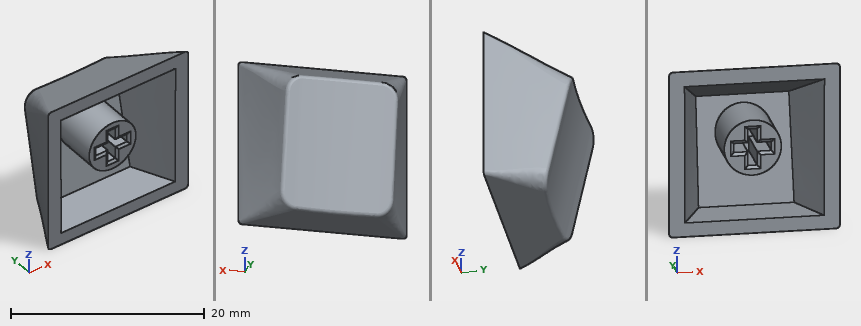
import cadquery as cq
import math

rim_side = 18.0
rim_corner_radius = 0.45
crown_width = 11.8
crown_corner_radius = 1.8
crown_low_y = 5.92
crown_high_y = 8.78
crown_high_z = 4.63
crown_edge_radius = 0.4
skin_steps = 4
dish_sagitta = 0.41

mouth_low_width = 14.62
mouth_high_width = 14.72
mouth_low_z = -7.47
mouth_high_z = 7.36
floor_low_y = 4.79
floor_high_z = 3.87
floor_low_width = 10.05
floor_high_width = 9.8

stem_diameter = 6.0
stem_recess = 0.99
socket_length = 4.65
socket_arm_width = 1.65
socket_inset = 0.35
socket_lead_in = 0.2

wall_z = -rim_side / 2
crown_rise = crown_high_y - crown_low_y
crown_run = crown_high_z - wall_z
crown_length = math.hypot(crown_rise, crown_run)
crown_slope = crown_rise / crown_run
crown_tilt = math.degrees(math.atan(crown_slope))
crown_middle = (0, (crown_low_y + crown_high_y) / 2, (wall_z + crown_high_z) / 2)


def tilted_plane(origin, tilt):
    """Plane facing +Y and leaning toward -Z by the tilt; its local y runs up the slope."""
    angle = math.radians(tilt)
    normal = (0, math.cos(angle), -math.sin(angle))
    return cq.Plane(origin=origin, xDir=(-1, 0, 0), normal=normal)


def rounded_rectangle(plane, width, length, radius):
    flat = cq.Face.makeFromWires(cq.Workplane(plane).rect(width, length).wires().val())
    return flat.fillet2D(radius, flat.Vertices()).outerWire()


def loft(*wires, ruled=True):
    return cq.Workplane(cq.Solid.makeLoft(list(wires), ruled))


def between(start, end, fraction):
    return start + (end - start) * fraction


def skin_section(fraction):
    """Outline of the skin at a fraction of the way from the rim (0) to the sharp crown (1)."""
    low_y = crown_low_y * fraction
    high_y = crown_high_y * fraction
    high_z = between(rim_side / 2, crown_high_z, fraction)
    rise = high_y - low_y
    run = high_z - wall_z
    middle = (0, (low_y + high_y) / 2, (wall_z + high_z) / 2)
    eased = fraction**2 * (3 - 2 * fraction)
    return rounded_rectangle(
        tilted_plane(middle, math.degrees(math.atan2(rise, run))),
        between(rim_side, crown_width, fraction),
        math.hypot(rise, run),
        between(rim_corner_radius, crown_corner_radius, eased),
    )


def make_skin():
    crown_plane = tilted_plane(crown_middle, crown_tilt)
    sections = [skin_section(step / skin_steps) for step in range(skin_steps + 1)]
    skin = loft(*sections, ruled=False)
    half_width = crown_width / 2
    dish_radius = (half_width**2 + dish_sagitta**2) / (2 * dish_sagitta)
    up_slope = crown_plane.yDir.toTuple()
    dish = (
        cq.Workplane(cq.Plane(origin=crown_middle, xDir=(1, 0, 0), normal=up_slope))
        .center(0, dish_radius - dish_sagitta)
        .circle(dish_radius)
        .extrude(crown_length, both=True)
    )
    dish_face = cq.selectors.NearestToPointSelector(crown_middle)
    return skin.cut(dish).faces(dish_face).edges().fillet(crown_edge_radius)


def make_cavity():
    floor_high_y = floor_low_y + crown_slope * (floor_high_z - mouth_low_z)

    def trapezoid(low_width, low_y, high_width, high_y, high_z):
        corners = [
            (-low_width / 2, low_y, mouth_low_z),
            (low_width / 2, low_y, mouth_low_z),
            (high_width / 2, high_y, high_z),
            (-high_width / 2, high_y, high_z),
        ]
        return cq.Wire.makePolygon([cq.Vector(*corner) for corner in corners], close=True)

    return loft(
        trapezoid(mouth_low_width, 0, mouth_high_width, 0, mouth_high_z),
        trapezoid(floor_low_width, floor_low_y, floor_high_width, floor_high_y, floor_high_z),
    )


def cross_wire(y, inset):
    tip = socket_length / 2 - inset
    arm = socket_arm_width / 2 - inset
    quarter = [(tip, -arm), (tip, arm), (arm, arm)]
    outline = []
    for _ in range(4):
        outline += quarter
        quarter = [(-z, x) for x, z in quarter]
    return cq.Wire.makePolygon([cq.Vector(x, y, z) for x, z in outline], close=True)


def make_socket():
    neck_y = stem_recess + socket_lead_in
    neck = cross_wire(neck_y, socket_inset)
    lead_in = loft(cross_wire(stem_recess, 0), neck)
    return lead_in.union(loft(neck, cross_wire(crown_high_y, socket_inset)))


def make_stem(cavity):
    """Stem that stands on the cavity floor, with the socket reaching down to that floor."""
    post = (
        cq.Workplane(tilted_plane((0, stem_recess, 0), 0))
        .circle(stem_diameter / 2)
        .extrude(crown_high_y)
    )
    return post.intersect(cavity).cut(make_socket())


cavity = make_cavity()
result = make_skin().cut(cavity).union(make_stem(cavity))